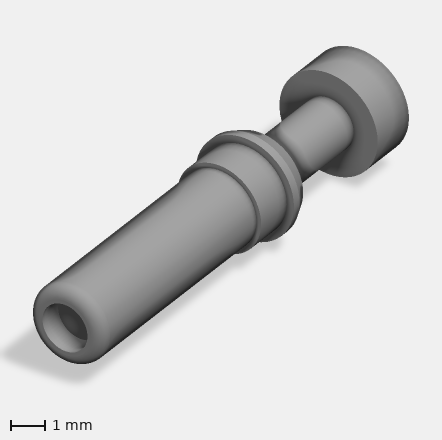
import cadquery as cq

length = 15.1

flange_diameter = 3.5
head_diameter = flange_diameter
neck_diameter = 1.8
cone_end_diameter = 3.07
collar_diameter = 2.99
barrel_diameter = 2.66
bore_diameter = 1.6

head_length = 1.6
neck_length = 3.5
cone_length = 0.5
flange_length = 0.29
collar_length = 1.31

tip_radius = 0.4
bore_depth = 0.8

head_face = length - head_length
neck_end = head_face - neck_length
cone_base = neck_end - cone_length
flange_face = cone_base - flange_length
collar_face = flange_face - collar_length


def cylinder(diameter, y_start, y_end):
    """Solid round bar on the Y axis between two axial positions."""
    return (
        cq.Workplane("XZ", origin=(0, y_start, 0))
        .circle(diameter / 2)
        .extrude(y_start - y_end)
    )


def flange_cone():
    """Tapered back of the flange, narrowing towards the neck."""
    profile = [
        (0, cone_base),
        (flange_diameter / 2, cone_base),
        (cone_end_diameter / 2, neck_end),
        (0, neck_end),
    ]
    return cq.Workplane("XY").polyline(profile).close().revolve(360, (0, 0, 0), (0, 1, 0))


barrel = cylinder(barrel_diameter, 0, collar_face).faces("<Y").edges().fillet(tip_radius)

body = (
    barrel
    .union(cylinder(collar_diameter, collar_face, flange_face))
    .union(cylinder(flange_diameter, flange_face, cone_base))
    .union(flange_cone())
    .union(cylinder(neck_diameter, neck_end, head_face))
    .union(cylinder(head_diameter, head_face, length))
)

result = body.cut(cylinder(bore_diameter, 0, bore_depth))